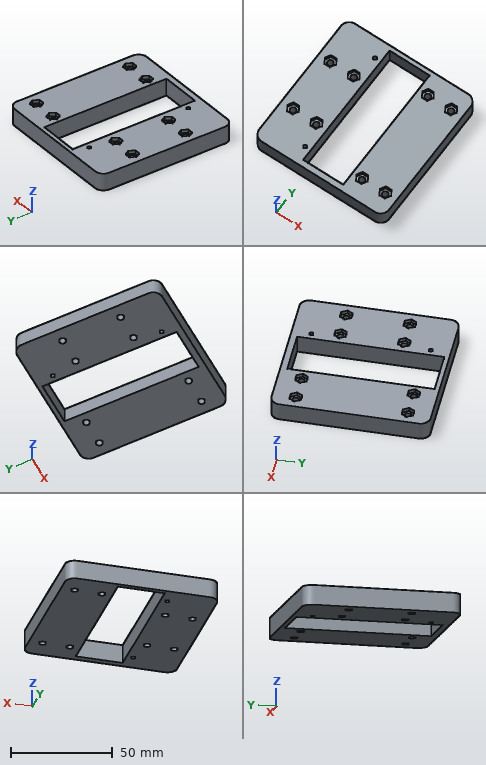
import cadquery as cq
import math

plate_length_x = 78.0
plate_length_y = 80.0
plate_thickness = 10.0
corner_radius = 5.0

window_width = 24.0
window_length = 74.0
window_center_x = 0.5
window_center_y = 0.5

screw_hole_diameter = 3.4
nut_sides = 6
nut_across_flats = 5.8
nut_across_corners = nut_across_flats / math.cos(math.pi / nut_sides)
nut_pocket_depth = 2.0
column_spacing = 14.0
column_pair_offset = 25.0
left_row_spacing = 32.0
right_row_spacing = 56.4

small_hole_diameter = 2.0
small_hole_x = -15.0
small_hole_spacing = 60.0


def rectangle_corners(center_x, spacing_x, spacing_y):
    """Corner points of a rectangle centred on (center_x, 0)."""
    return [
        (center_x + side_x * spacing_x / 2, side_y * spacing_y / 2)
        for side_x in (-1, 1)
        for side_y in (-1, 1)
    ]


def make_plate():
    """Flat plate with rounded vertical corners."""
    plate = cq.Workplane("XY").box(
        plate_length_x, plate_length_y, plate_thickness, centered=(True, True, False)
    )
    return plate.edges("|Z").fillet(corner_radius)


def make_window():
    """Block removed to open the window."""
    return (
        cq.Workplane("XY")
        .center(window_center_x, window_center_y)
        .rect(window_width, window_length)
        .extrude(plate_thickness)
    )


def make_through_holes(points, diameter):
    """Cylinders spanning the plate thickness at the given points."""
    return cq.Workplane("XY").pushPoints(points).circle(diameter / 2).extrude(plate_thickness)


def make_nut_pockets(points):
    """Hexagonal prisms sunk from the top face, with corners pointing along X."""
    return (
        cq.Workplane("XY", origin=(0, 0, plate_thickness))
        .pushPoints(points)
        .polygon(nut_sides, nut_across_corners)
        .extrude(-nut_pocket_depth)
    )


left_screws = rectangle_corners(-column_pair_offset, column_spacing, left_row_spacing)
right_screws = rectangle_corners(column_pair_offset, column_spacing, right_row_spacing)
screw_points = left_screws + right_screws
small_hole_points = [(small_hole_x, side * small_hole_spacing / 2) for side in (-1, 1)]

result = (
    make_plate()
    .cut(make_window())
    .cut(make_through_holes(screw_points, screw_hole_diameter))
    .cut(make_nut_pockets(screw_points))
    .cut(make_through_holes(small_hole_points, small_hole_diameter))
)